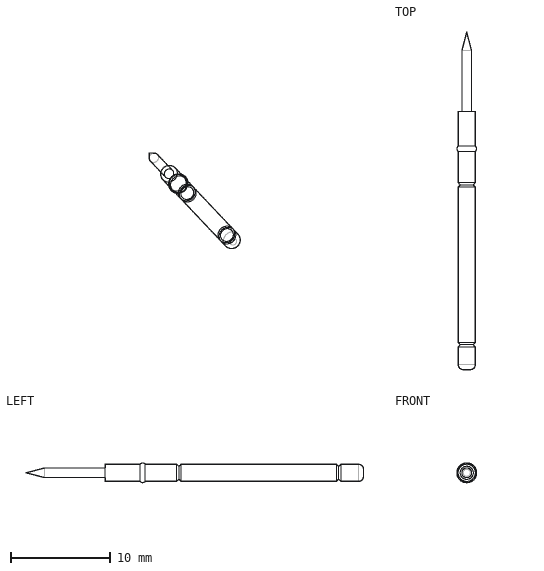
import cadquery as cq

overall_length = 34.0
barrel_diameter = 1.75
plunger_diameter = 1.0
collar_diameter = 2.0

cone_length = 1.87
plunger_reach = 8.0
collar_center_from_point = 11.75
collar_width = 0.5
groove_centers_from_point = (15.4, 31.5)
groove_width = 0.45
groove_depth = 0.2
rear_fillet_radius = 0.5

barrel_radius = barrel_diameter / 2
plunger_radius = plunger_diameter / 2
barrel_length = overall_length - plunger_reach


def revolve_about_y(profile):
    """Turn a closed half profile, drawn with X as radius, around the Y axis."""
    return profile.close().revolve(360, (0, 0, 0), (0, 1, 0))


def make_barrel():
    barrel = cq.Workplane("XZ").circle(barrel_radius).extrude(-barrel_length)
    return barrel.faces("<Y").edges().fillet(rear_fillet_radius)


def make_plunger():
    """Slim rod with a sharp conical point, standing on the barrel mouth."""
    profile = (
        cq.Workplane("XY")
        .moveTo(0, barrel_length)
        .lineTo(plunger_radius, barrel_length)
        .lineTo(plunger_radius, overall_length - cone_length)
        .lineTo(0, overall_length)
    )
    return revolve_about_y(profile)


def make_collar():
    """Press ring whose crown bulges out of the barrel as an arc."""
    center_y = overall_length - collar_center_from_point
    rear_y = center_y - collar_width / 2
    front_y = center_y + collar_width / 2
    profile = (
        cq.Workplane("XY")
        .moveTo(0, rear_y)
        .lineTo(barrel_radius, rear_y)
        .threePointArc((collar_diameter / 2, center_y), (barrel_radius, front_y))
        .lineTo(0, front_y)
    )
    return revolve_about_y(profile)


def make_groove_cutter(center_from_point):
    """V-shaped ring that cuts one groove around the barrel."""
    center_y = overall_length - center_from_point
    profile = (
        cq.Workplane("XY")
        .moveTo(barrel_radius, center_y - groove_width / 2)
        .lineTo(barrel_radius - groove_depth, center_y)
        .lineTo(barrel_radius, center_y + groove_width / 2)
    )
    return revolve_about_y(profile)


result = make_barrel().union(make_plunger()).union(make_collar())
for groove_center in groove_centers_from_point:
    result = result.cut(make_groove_cutter(groove_center))